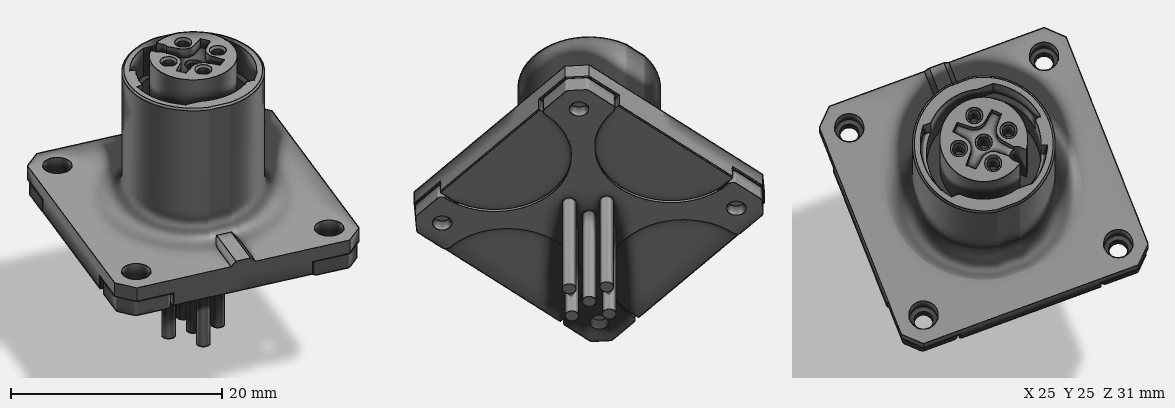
import cadquery as cq
import math

INSERT_TOP = 31.0
RIM_TOP = 29.4
FLANGE_TOP = 15.05
PAD_TOP = 13.42
FLANGE_BOTTOM = 12.05
SEAL_BOTTOM = 11.78

FLANGE_SIDE = 25.0
FLANGE_HALF = FLANGE_SIDE / 2
CORNER_CHAMFER = 1.6
LOWER_EDGE_CHAMFER = 0.1
SCREW_POSITION = 9.85
SCREW_HOLE_DIAMETER = 1.83
COUNTERBORE_DIAMETER = 2.75
COUNTERBORE_DEPTH = 2.0

NOTCH_START = 7.15
PAD_START = 7.22
PAD_INSET = 0.2
PAD_END = FLANGE_HALF - PAD_INSET
PAD_CORNER_CHAMFER = 1.4
PAD_EDGE_RADIUS = 0.5

BARREL_RADIUS = 6.75
FLAT_HALF_WIDTH = 1.05
FLAT_BLEND_RADIUS = 1.0
BASE_FILLET = 2.5
RIM_CHAMFER = 0.2

RIB_START = 7.63
RIB_HALF_WIDTH = 1.25
RIB_HEIGHT = 0.5

BORE_RADIUS = 5.42
BORE_DEPTH = 7.75
BORE_FLOOR = RIM_TOP - BORE_DEPTH
SLOT_RADIUS = 6.0
SLOT_DEPTH = 3.15
TOP_SLOT_HALF_WIDTH = 3.75
SIDE_SLOT_WALL = 5.25
RIGHT_SLOT_END_ANGLE = -84.0
LEFT_SLOT_END_ANGLE = -111.6

INSERT_RADIUS = 4.15
KEYWAY_RADIUS = 0.7
KEYWAY_CENTRE_RADIUS = 3.45
KEYWAY_ANGLE = 225
CROSS_REACH = 2.98
CROSS_TIP_HALF_WIDTH = 0.5
CROSS_INNER_RADIUS = 1.0
CROSS_FILLET = 1.18
CROSS_DEPTH = 1.0

CONTACT_PITCH = 2.5
PIN_RADIUS = 0.65
SOCKET_RADIUS = 0.6
SOCKET_MOUTH_RADIUS = 0.8
SOCKET_MOUTH_DEPTH = 0.25
SOCKET_DEPTH = 3.1
CONTACTS = [(0, 0), (CONTACT_PITCH, 0), (-CONTACT_PITCH, 0), (0, CONTACT_PITCH), (0, -CONTACT_PITCH)]


def at_height(z):
    return cq.Workplane("XY").workplane(offset=z)


def polar(radius, angle):
    return (radius * math.cos(math.radians(angle)), radius * math.sin(math.radians(angle)))


def is_lower_rim_edge(edge):
    tolerance = 0.003
    middle = edge.Center()
    x, y = abs(middle.x), abs(middle.y)
    on_side = max(x, y) > FLANGE_HALF - tolerance
    on_corner = x + y > FLANGE_SIDE - CORNER_CHAMFER - tolerance
    return middle.z < PAD_TOP + tolerance and (on_side or on_corner)


def make_flange():
    flange = (
        at_height(FLANGE_BOTTOM)
        .rect(FLANGE_SIDE, FLANGE_SIDE)
        .extrude(FLANGE_TOP - FLANGE_BOTTOM)
        .edges("|Z")
        .chamfer(CORNER_CHAMFER)
    )
    notch_size = FLANGE_HALF - NOTCH_START
    notch_centre = (FLANGE_HALF + NOTCH_START) / 2
    notches = (
        at_height(FLANGE_BOTTOM)
        .rect(2 * notch_centre, 2 * notch_centre, forConstruction=True)
        .vertices()
        .rect(notch_size, notch_size)
        .extrude(PAD_TOP - FLANGE_BOTTOM)
    )
    flange = flange.cut(notches)
    return flange.edges().filter(is_lower_rim_edge).chamfer(LOWER_EDGE_CHAMFER)


def make_barrel():
    centre_distance = BARREL_RADIUS - FLAT_BLEND_RADIUS
    centre_angle = math.asin(FLAT_HALF_WIDTH / centre_distance)
    centre_x = centre_distance * math.cos(centre_angle)
    flat_x = centre_x + FLAT_BLEND_RADIUS
    round_x = BARREL_RADIUS * math.cos(centre_angle)
    round_y = BARREL_RADIUS * math.sin(centre_angle)
    mid_x = centre_x + FLAT_BLEND_RADIUS * math.cos(centre_angle / 2)
    mid_y = FLAT_HALF_WIDTH + FLAT_BLEND_RADIUS * math.sin(centre_angle / 2)
    return (
        at_height(FLANGE_TOP)
        .moveTo(flat_x, -FLAT_HALF_WIDTH)
        .lineTo(flat_x, FLAT_HALF_WIDTH)
        .threePointArc((mid_x, mid_y), (round_x, round_y))
        .threePointArc((0, BARREL_RADIUS), (-round_x, round_y))
        .threePointArc((-mid_x, mid_y), (-flat_x, FLAT_HALF_WIDTH))
        .lineTo(-flat_x, -FLAT_HALF_WIDTH)
        .threePointArc((-mid_x, -mid_y), (-round_x, -round_y))
        .threePointArc((0, -BARREL_RADIUS), (round_x, -round_y))
        .threePointArc((mid_x, -mid_y), (flat_x, -FLAT_HALF_WIDTH))
        .close()
        .extrude(RIM_TOP - FLANGE_TOP)
        .faces(">Z")
        .chamfer(RIM_CHAMFER)
    )


def make_housing():
    margin = 0.3
    reach = BARREL_RADIUS + margin
    base_edges = cq.selectors.BoxSelector(
        (-reach, -reach, FLANGE_TOP - margin), (reach, reach, FLANGE_TOP + margin)
    )
    return make_flange().union(make_barrel()).edges(base_edges).fillet(BASE_FILLET)


def make_rib():
    top_half_width = RIB_HALF_WIDTH - RIB_HEIGHT
    return (
        cq.Workplane("YZ", origin=(RIB_START, 0, FLANGE_TOP))
        .moveTo(-RIB_HALF_WIDTH, 0)
        .lineTo(-top_half_width, RIB_HEIGHT)
        .lineTo(top_half_width, RIB_HEIGHT)
        .lineTo(RIB_HALF_WIDTH, 0)
        .close()
        .extrude(FLANGE_HALF - RIB_START)
    )


def make_pad():
    pad = (
        at_height(SEAL_BOTTOM)
        .moveTo(PAD_START, PAD_START)
        .lineTo(PAD_END, PAD_START)
        .lineTo(PAD_END, PAD_END - PAD_CORNER_CHAMFER)
        .lineTo(PAD_END - PAD_CORNER_CHAMFER, PAD_END)
        .lineTo(PAD_START, PAD_END)
        .close()
        .extrude(PAD_TOP - SEAL_BOTTOM)
    )
    return pad.edges("|Z and (>X or >Y)").fillet(PAD_EDGE_RADIUS)


def make_seal():
    layer_half = PAD_END - PAD_EDGE_RADIUS
    layer_thickness = FLANGE_BOTTOM - SEAL_BOTTOM
    scoop_centres = [(layer_half, 0), (-layer_half, 0), (0, layer_half), (0, -layer_half)]
    seal = at_height(SEAL_BOTTOM).rect(2 * layer_half, 2 * layer_half).extrude(layer_thickness)
    seal = seal.edges("|Z").chamfer(CORNER_CHAMFER)
    scoops = at_height(SEAL_BOTTOM).pushPoints(scoop_centres).circle(PAD_START).extrude(layer_thickness)
    seal = seal.cut(scoops)
    pad = make_pad()
    for quarter_turn in range(4):
        seal = seal.union(pad.rotate((0, 0, 0), (0, 0, 1), 90 * quarter_turn))
    return seal


def make_screw_holes():
    centres = [(x, y) for x in (-SCREW_POSITION, SCREW_POSITION) for y in (-SCREW_POSITION, SCREW_POSITION)]
    through = (
        at_height(SEAL_BOTTOM)
        .pushPoints(centres)
        .circle(SCREW_HOLE_DIAMETER / 2)
        .extrude(FLANGE_TOP - SEAL_BOTTOM)
    )
    counterbores = (
        at_height(FLANGE_TOP)
        .pushPoints(centres)
        .circle(COUNTERBORE_DIAMETER / 2)
        .extrude(-COUNTERBORE_DEPTH)
    )
    return through.union(counterbores)


def make_bore():
    far = 2 * SLOT_RADIUS
    sectors = [
        [
            (-TOP_SLOT_HALF_WIDTH, 0),
            (TOP_SLOT_HALF_WIDTH, 0),
            (TOP_SLOT_HALF_WIDTH, far),
            (-TOP_SLOT_HALF_WIDTH, far),
        ],
        [(0, 0), (SIDE_SLOT_WALL, 0), (SIDE_SLOT_WALL, -far), polar(far, RIGHT_SLOT_END_ANGLE)],
        [(0, 0), (-SIDE_SLOT_WALL, 0), (-SIDE_SLOT_WALL, -far), polar(far, LEFT_SLOT_END_ANGLE)],
    ]
    bore = at_height(RIM_TOP).circle(BORE_RADIUS).extrude(-BORE_DEPTH)
    for sector in sectors:
        disc = at_height(RIM_TOP).circle(SLOT_RADIUS).extrude(-SLOT_DEPTH)
        prism = at_height(RIM_TOP).polyline(sector).close().extrude(-SLOT_DEPTH)
        bore = bore.union(disc.intersect(prism))
    return bore


def make_cross():
    half_tip_angle = math.degrees(math.atan2(CROSS_TIP_HALF_WIDTH, CROSS_REACH))
    tip_radius = math.hypot(CROSS_REACH, CROSS_TIP_HALF_WIDTH)
    outline = []
    for arm_angle in (45, 135, 225, 315):
        outline.append(polar(tip_radius, arm_angle - half_tip_angle))
        outline.append(polar(tip_radius, arm_angle + half_tip_angle))
        outline.append(polar(CROSS_INNER_RADIUS, arm_angle + 45))
    margin = 0.3
    reach = CROSS_INNER_RADIUS + margin
    inner_edges = cq.selectors.BoxSelector((-reach, -reach, 0), (reach, reach, INSERT_TOP))
    cross = at_height(INSERT_TOP).polyline(outline).close().extrude(-CROSS_DEPTH)
    return cross.edges("|Z").edges(inner_edges).fillet(CROSS_FILLET)


def make_insert():
    height = INSERT_TOP - BORE_FLOOR
    keyway_length = INSERT_RADIUS
    keyway = (
        at_height(BORE_FLOOR)
        .center(KEYWAY_CENTRE_RADIUS, 0)
        .circle(KEYWAY_RADIUS)
        .extrude(height)
        .union(
            at_height(BORE_FLOOR)
            .center(KEYWAY_CENTRE_RADIUS + keyway_length / 2, 0)
            .rect(keyway_length, 2 * KEYWAY_RADIUS)
            .extrude(height)
        )
        .rotate((0, 0, 0), (0, 0, 1), KEYWAY_ANGLE)
    )
    insert = at_height(BORE_FLOOR).circle(INSERT_RADIUS).extrude(height)
    return insert.cut(keyway).cut(make_cross())


def make_contact_socket(x, y, top):
    return (
        cq.Workplane("XZ")
        .moveTo(0, 0)
        .lineTo(SOCKET_MOUTH_RADIUS, 0)
        .lineTo(SOCKET_RADIUS, -SOCKET_MOUTH_DEPTH)
        .lineTo(SOCKET_RADIUS, -SOCKET_DEPTH)
        .lineTo(0, -SOCKET_DEPTH)
        .close()
        .revolve(360, (0, 0, 0), (0, 1, 0))
        .translate((x, y, top))
    )


housing = make_housing().union(make_rib()).union(make_seal())
housing = housing.cut(make_screw_holes()).cut(make_bore())
pins = cq.Workplane("XY").pushPoints(CONTACTS).circle(PIN_RADIUS).extrude(FLANGE_BOTTOM)
result = housing.union(make_insert()).union(pins)
for x, y in CONTACTS:
    mouth_height = INSERT_TOP - CROSS_DEPTH if (x, y) == (0, 0) else INSERT_TOP
    result = result.cut(make_contact_socket(x, y, mouth_height))